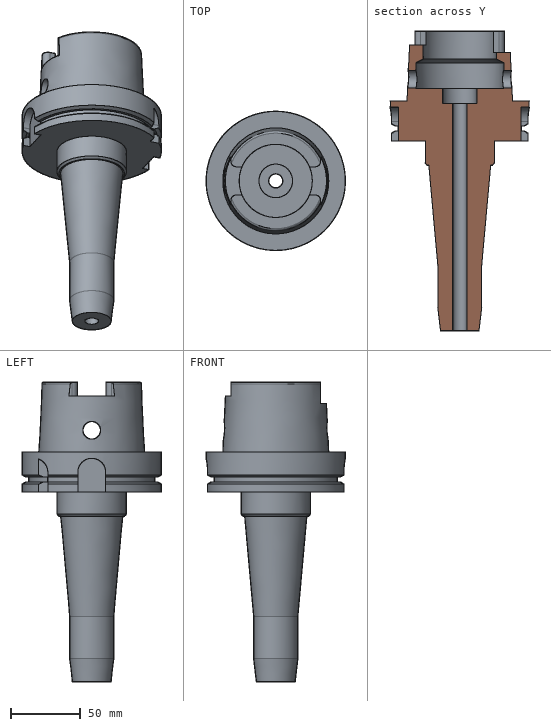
import cadquery as cq


total_height = 215.0
tip_top = 16.5
nose_top = 46.9
collar_bottom = 118.7
flange_bottom = 136.0
flange_top = 165.0

tip_radius = 14.0
nose_radius = 16.0
stem_top_radius = 22.4
collar_radius = 25.0
collar_chamfer = 1.5

flange_diameter = 100.0
flange_radius = flange_diameter / 2
groove_radius = 45.4
groove_mouth_radius = 47.3
groove_lower_edge = 141.7
groove_floor_bottom = 143.5
groove_floor_top = 146.8
groove_upper_edge = 148.4

taper_base_radius = 38.0
taper_top_radius = 35.7
taper_rounding = 1.5

mouth_radius = 26.2
mouth_depth = 20.2
clamp_radius = 31.4
clamp_lip_height = 2.5
clamp_floor = 174.0
counterbore_radius = 12.0
counterbore_depth = 10.8
through_radius = 5.0

slot_half_width = 10.0
lug_rounding = 4.0
lug_reach = 32.2
slot_flare_half_width = 18.3
left_slot_depth = 9.9
right_slot_depth = 15.3

cross_hole_radius = 6.2
cross_hole_height = 180.4

keyway_width = 20.0
keyway_radius = keyway_width / 2
keyway_arch_height = 150.3
keyway_floor = 44.0
notch_offset = 41.5
notch_floor = 32.2

cut_reach = 64.5


def revolve_profile(points):
    """Revolve a closed outline of (radius, height) points about Z."""
    return cq.Workplane("XZ").polyline(points).close().revolve(360, (0, 0), (0, 1))


def make_body():
    stem_and_flange = revolve_profile([
        (0, 0),
        (tip_radius, 0),
        (nose_radius, tip_top),
        (nose_radius, nose_top),
        (stem_top_radius, collar_bottom),
        (collar_radius - collar_chamfer, collar_bottom),
        (collar_radius, collar_bottom + collar_chamfer),
        (collar_radius, flange_bottom),
        (flange_radius, flange_bottom),
        (flange_radius, groove_lower_edge),
        (groove_mouth_radius, groove_floor_bottom),
        (groove_radius, groove_floor_bottom),
        (groove_radius, groove_floor_top),
        (groove_mouth_radius, groove_floor_top),
        (flange_radius, groove_upper_edge),
        (flange_radius, flange_top),
        (0, flange_top),
    ])
    taper = revolve_profile([
        (0, flange_top),
        (taper_base_radius, flange_top),
        (taper_top_radius, total_height),
        (0, total_height),
    ])
    return stem_and_flange.union(taper.faces(">Z").edges().fillet(taper_rounding))


def make_bore():
    lip_top = total_height - mouth_depth
    counterbore_floor = clamp_floor - counterbore_depth
    return revolve_profile([
        (0, 0),
        (through_radius, 0),
        (through_radius, counterbore_floor),
        (counterbore_radius, counterbore_floor),
        (counterbore_radius, clamp_floor),
        (clamp_radius, clamp_floor),
        (clamp_radius, lip_top - clamp_lip_height),
        (mouth_radius, lip_top),
        (mouth_radius, total_height),
        (0, total_height),
    ])


def make_drive_slot(depth):
    """Rim slot on the +X side; quarter arcs round the lug ends beside it."""
    arc_start = lug_reach - lug_rounding
    arc_top = slot_half_width + lug_rounding
    return (
        cq.Workplane("XY", origin=(0, 0, total_height - depth))
        .moveTo(0, -slot_half_width)
        .lineTo(arc_start, -slot_half_width)
        .radiusArc((lug_reach, -arc_top), lug_rounding)
        .lineTo(lug_reach, -slot_flare_half_width)
        .lineTo(cut_reach, -slot_flare_half_width)
        .lineTo(cut_reach, slot_flare_half_width)
        .lineTo(lug_reach, slot_flare_half_width)
        .lineTo(lug_reach, arc_top)
        .radiusArc((arc_start, slot_half_width), lug_rounding)
        .lineTo(0, slot_half_width)
        .close()
        .extrude(depth)
    )


def make_keyway(floor, offset=0.0):
    """Round-topped keyway on the +X side, open outward and at the flange bottom."""
    return (
        cq.Workplane("YZ", origin=(floor, offset, 0))
        .moveTo(-keyway_radius, flange_bottom)
        .lineTo(-keyway_radius, keyway_arch_height)
        .threePointArc((0, keyway_arch_height + keyway_radius), (keyway_radius, keyway_arch_height))
        .lineTo(keyway_radius, flange_bottom)
        .close()
        .extrude(cut_reach - floor)
    )


def to_left_side(shape):
    """Mirror a +X side feature to the -X side."""
    return shape.mirror("YZ")


cross_hole = (
    cq.Workplane("YZ", origin=(-cut_reach, 0, cross_hole_height))
    .circle(cross_hole_radius)
    .extrude(2 * cut_reach)
)

cutters = [
    make_bore(),
    make_drive_slot(right_slot_depth),
    to_left_side(make_drive_slot(left_slot_depth)),
    cross_hole,
    make_keyway(keyway_floor),
    to_left_side(make_keyway(keyway_floor)),
    to_left_side(make_keyway(notch_floor, notch_offset)),
]

result = make_body()
for cutter in cutters:
    result = result.cut(cutter)